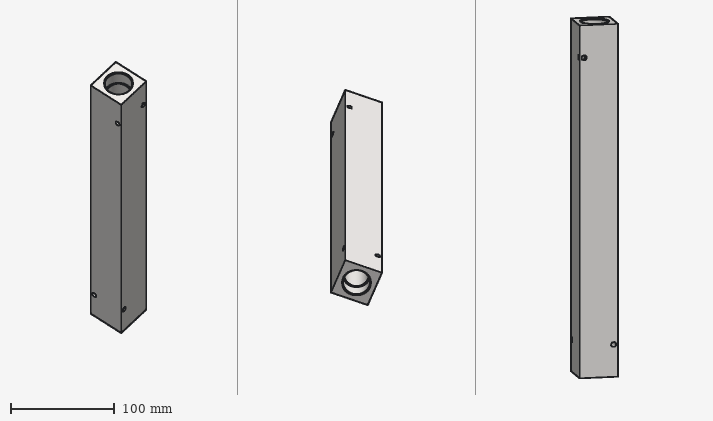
import cadquery as cq

length = 346.0
width = 38.0

bore_diameter = 23.2
counterbore_diameter = 26.0
counterbore_depth = 15.0
rim_chamfer = 1.0

cross_hole_diameter = 5.0
cross_hole_offset = 14.5
cross_hole_end_distance = 32.0


def bore_profile():
    """Return the half section of the bore, revolved about Z, with both stepped ends."""
    bore_radius = bore_diameter / 2
    counterbore_radius = counterbore_diameter / 2
    rim_radius = counterbore_radius + rim_chamfer
    return (
        cq.Workplane("XZ")
        .moveTo(0, 0)
        .lineTo(rim_radius, 0)
        .lineTo(counterbore_radius, rim_chamfer)
        .lineTo(counterbore_radius, counterbore_depth)
        .lineTo(bore_radius, counterbore_depth)
        .lineTo(bore_radius, length - counterbore_depth)
        .lineTo(counterbore_radius, length - counterbore_depth)
        .lineTo(counterbore_radius, length - rim_chamfer)
        .lineTo(rim_radius, length)
        .lineTo(0, length)
        .close()
    )


def cross_hole_pair(offset, height):
    """Return two crossing drills, along Y and X, sharing one corner and height."""
    radius = cross_hole_diameter / 2
    along_y = cq.Solid.makeCylinder(
        radius, width, cq.Vector(offset, -width / 2, height), cq.Vector(0, 1, 0)
    )
    along_x = cq.Solid.makeCylinder(
        radius, width, cq.Vector(-width / 2, offset, height), cq.Vector(1, 0, 0)
    )
    return cq.Workplane(along_y).union(cq.Workplane(along_x))


bar = cq.Workplane("XY").box(width, width, length, centered=(True, True, False))
stepped_bore = bore_profile().revolve(360, (0, 0, 0), (0, 1, 0))
lower_holes = cross_hole_pair(-cross_hole_offset, cross_hole_end_distance)
upper_holes = cross_hole_pair(cross_hole_offset, length - cross_hole_end_distance)

result = bar.cut(stepped_bore).cut(lower_holes).cut(upper_holes)